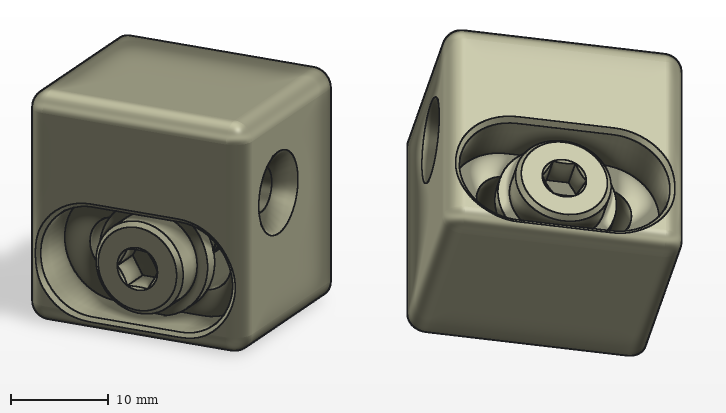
import cadquery as cq
import math

BLOCK_WIDTH = 25.0
BLOCK_DEPTH = 20.0
BLOCK_HEIGHT = 25.0
EDGE_RADIUS = 2.0
EDGE_CHAMFER = 0.5

SCREW_Z = 7.5
SLOT_TRAVEL = 10.0
POCKET_HEIGHT = 12.0
POCKET_DEPTH = 6.0
RIM_MARGIN = 0.25
SLOT_HEIGHT = 6.2

CROSS_HOLE_DIAMETER = 4.92
CROSS_HOLE_Y = 8.0
CROSS_HOLE_Z = 15.5
COUNTERSINK_DEPTH = 2.0

WASHER_DIAMETER = 12.4
WASHER_BORE = 6.4
WASHER_THICKNESS = 1.6
WASHER_FRONT_Y = POCKET_DEPTH - WASHER_THICKNESS

OVERALL_DEPTH = 22.72
HEAD_DIAMETER = 10.0
HEAD_FRONT_Y = 0.72
HEAD_HEIGHT = WASHER_FRONT_Y - HEAD_FRONT_Y
HEAD_CHAMFER = 0.5
SOCKET_ACROSS_FLATS = 4.0
SOCKET_ACROSS_CORNERS = SOCKET_ACROSS_FLATS / math.cos(math.pi / 6)
SOCKET_DEPTH = 3.5
SOCKET_LEAD_IN = 0.2
SHANK_LENGTH = OVERALL_DEPTH - WASHER_FRONT_Y
TIP_DIAMETER = 4.22
TIP_SLOPE = 1.4

THREAD_DIAMETER = 6.0
THREAD_PITCH = 1.0
THREAD_FLAT = THREAD_PITCH / 8
THREAD_HEIGHT = 0.75 * THREAD_PITCH * math.cos(math.pi / 6)
THREAD_LENGTH = 10.1
FLANK_STEPS = 4


def y_plane(y):
    """Plane across the screw axis, facing +Y, with local x along -X and local y along Z."""
    return cq.Plane(origin=(0, y, SCREW_Z), xDir=(-1, 0, 0), normal=(0, 1, 0))


def disc(diameter, y, length):
    """Cylinder on the screw axis, running from y towards +Y."""
    return cq.Workplane(y_plane(y)).circle(diameter / 2).extrude(length)


def slot_cutter(height, y, length):
    """Round-ended bar that lets the screw travel sideways."""
    return cq.Workplane(y_plane(y)).slot2D(SLOT_TRAVEL + height, height).extrude(length)


def cross_hole_cutter():
    half_width = BLOCK_WIDTH / 2
    bore_radius = CROSS_HOLE_DIAMETER / 2
    mouth_radius = bore_radius + COUNTERSINK_DEPTH
    bore_end = half_width - COUNTERSINK_DEPTH
    return (
        cq.Workplane("XY", origin=(0, CROSS_HOLE_Y, CROSS_HOLE_Z))
        .moveTo(-half_width, 0)
        .lineTo(-half_width, mouth_radius)
        .lineTo(-bore_end, bore_radius)
        .lineTo(bore_end, bore_radius)
        .lineTo(half_width, mouth_radius)
        .lineTo(half_width, 0)
        .close()
        .revolve(360, (0, 0, 0), (1, 0, 0))
    )


def pocket_rim():
    """Selector for the pocket's front edges: they fit in a box that reaches just past the rim."""
    reach_x = (SLOT_TRAVEL + POCKET_HEIGHT) / 2 + RIM_MARGIN
    reach_z = POCKET_HEIGHT / 2 + RIM_MARGIN
    return cq.selectors.BoxSelector(
        (-reach_x, -RIM_MARGIN, SCREW_Z - reach_z),
        (reach_x, RIM_MARGIN, SCREW_Z + reach_z),
        boundingbox=True,
    )


def make_block():
    block = (
        cq.Workplane("XY")
        .box(BLOCK_WIDTH, BLOCK_DEPTH, BLOCK_HEIGHT, centered=(True, False, False))
        .edges("|Y or <Y")
        .fillet(EDGE_RADIUS)
    )
    block = block.cut(slot_cutter(POCKET_HEIGHT, 0, POCKET_DEPTH))
    block = block.edges(pocket_rim()).chamfer(EDGE_CHAMFER)
    block = block.cut(slot_cutter(SLOT_HEIGHT, 0, BLOCK_DEPTH))
    block = block.cut(disc(WASHER_DIAMETER, WASHER_FRONT_Y, WASHER_THICKNESS))
    return block.cut(cross_hole_cutter())


def make_washer():
    return disc(WASHER_DIAMETER, WASHER_FRONT_Y, WASHER_THICKNESS).cut(
        disc(WASHER_BORE, WASHER_FRONT_Y, WASHER_THICKNESS)
    )


def make_head():
    """Cylinder head below z = 0 with a hexagonal socket in its chamfered outer face."""
    head = (
        cq.Workplane("XY")
        .circle(HEAD_DIAMETER / 2)
        .extrude(-HEAD_HEIGHT)
        .faces("<Z")
        .edges()
        .chamfer(HEAD_CHAMFER)
    )
    outer_face = cq.Workplane("XY").workplane(offset=-HEAD_HEIGHT)
    socket = outer_face.polygon(6, SOCKET_ACROSS_CORNERS).extrude(SOCKET_DEPTH)
    lead_in = (
        outer_face.circle(SOCKET_ACROSS_CORNERS / 2)
        .workplane(offset=SOCKET_LEAD_IN)
        .circle(SOCKET_ACROSS_FLATS / 2)
        .loft()
    )
    return head.cut(socket).cut(lead_in)


def polar_point(radius, angle):
    return (radius * math.cos(angle), radius * math.sin(angle))


def thread_section():
    """Cross-section of the thread: a crest arc and a root arc joined by two spiral flanks."""
    crest_radius = THREAD_DIAMETER / 2
    flank_start = math.pi * THREAD_FLAT / THREAD_PITCH
    flank_end = math.pi - flank_start
    flank = []
    for step in range(FLANK_STEPS + 1):
        fraction = step / FLANK_STEPS
        radius = crest_radius - THREAD_HEIGHT * fraction
        angle = flank_start + (flank_end - flank_start) * fraction
        flank.append(polar_point(radius, angle))
    opposite_flank = [(x, -y) for x, y in reversed(flank)]
    return (
        cq.Workplane("XY")
        .moveTo(*opposite_flank[-1])
        .threePointArc((crest_radius, 0), flank[0])
        .spline(flank[1:], includeCurrent=True)
        .threePointArc((THREAD_HEIGHT - crest_radius, 0), opposite_flank[0])
        .spline(opposite_flank[1:], includeCurrent=True)
        .close()
    )


def make_thread():
    """Right-hand thread along +Z from z = 0, with its far end turned to a cone."""
    turns = THREAD_LENGTH / THREAD_PITCH
    thread = thread_section().twistExtrude(THREAD_LENGTH, 360 * turns)
    tip_radius = TIP_DIAMETER / 2
    cone_base_radius = tip_radius + THREAD_LENGTH * TIP_SLOPE
    cone = (
        cq.Workplane("XY")
        .circle(cone_base_radius)
        .workplane(offset=THREAD_LENGTH)
        .circle(tip_radius)
        .loft()
    )
    return thread.intersect(cone, clean=False)


def make_screw():
    """Screw built along +Z from the underside of its head, then laid along +Y."""
    plain_length = SHANK_LENGTH - THREAD_LENGTH
    neck = cq.Workplane("XY").circle(THREAD_DIAMETER / 2).extrude(plain_length)
    thread = make_thread().translate((0, 0, plain_length))
    screw = make_head().union(neck).union(thread, clean=False)
    return screw.rotate((0, 0, 0), (1, 0, 0), -90).translate((0, WASHER_FRONT_Y, SCREW_Z))


block = make_block()
washer = make_washer()
screw = make_screw()
result = cq.Compound.makeCompound([block.val(), washer.val(), screw.val()])